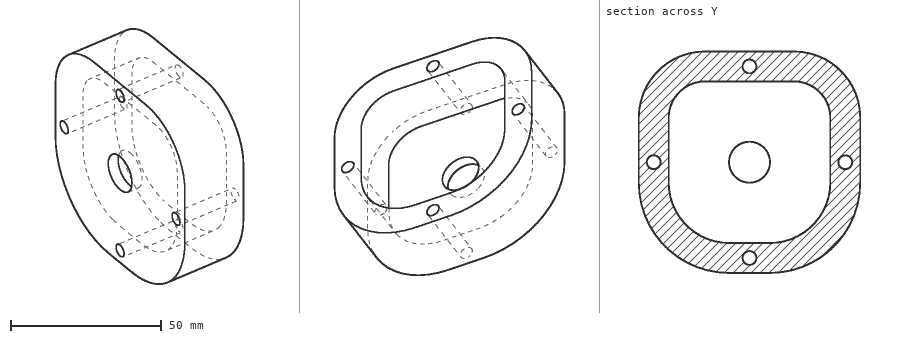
import cadquery as cq

side = 73.5
depth = 24.0
upper_corner_radius = 22.0
lower_corner_radius = 30.0
front_wall = 4.0
side_wall = 10.0
bore_diameter = 13.5
screw_diameter = 4.5
screw_count = 4

screw_circle_radius = side / 2 - side_wall / 2


def rounded_block(inset, front, back):
    """Block between two Y positions whose outline is the part's outline moved inward by inset."""
    width = side - 2 * inset
    length = back - front
    block = cq.Workplane("XY").box(width, length, width).translate((0, (front + back) / 2, 0))
    block = block.edges("|Y and >Z").fillet(upper_corner_radius - inset)
    return block.edges("|Y and <Z").fillet(lower_corner_radius - inset)


def make_bore():
    """Central hole along Y."""
    return cq.Workplane("XZ").circle(bore_diameter / 2).extrude(-depth)


def make_screw_holes():
    """Through holes at the middle of each side of the outline."""
    centres = cq.Workplane("XZ").polarArray(screw_circle_radius, 0, 360, screw_count)
    return centres.circle(screw_diameter / 2).extrude(-depth)


body = rounded_block(0, 0, depth)
cavity = rounded_block(side_wall, front_wall, depth)

result = body.cut(cavity).cut(make_bore()).cut(make_screw_holes())